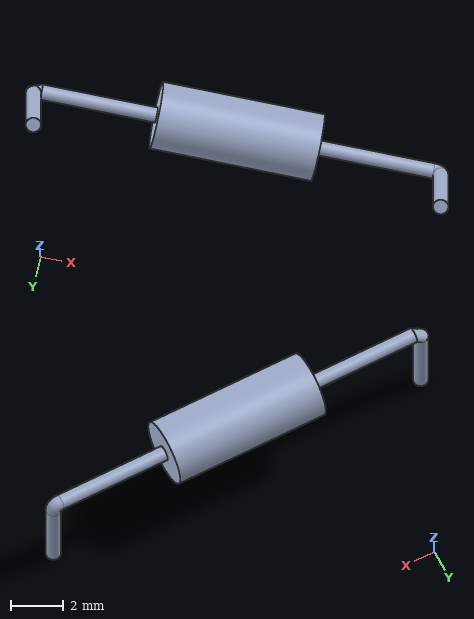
import cadquery as cq
import math

OVERALL_LENGTH = 16.5
BODY_DIAMETER = 2.6
BODY_LENGTH = 6.3
LEAD_DIAMETER = 0.6
INNER_BEND_RADIUS = 0.008
LEAD_DROP = 3.9

LEAD_RADIUS = LEAD_DIAMETER / 2
BODY_END = BODY_LENGTH / 2
BEND_RADIUS = LEAD_RADIUS + INNER_BEND_RADIUS
LEG_X = OVERALL_LENGTH / 2 - LEAD_RADIUS
PIVOT_X = LEG_X - BEND_RADIUS
PIVOT_Z = -BEND_RADIUS
LINK_STOCK_LENGTH = 4 * LEAD_DIAMETER


def make_body():
    end = cq.Workplane("YZ", origin=(-BODY_END, 0, 0))
    return end.circle(BODY_DIAMETER / 2).extrude(BODY_LENGTH)


def make_wire(side):
    """Horizontal wire from the body end to the bend, on side -1 or +1."""
    start = cq.Workplane("YZ", origin=(side * BODY_END, 0, 0))
    return start.circle(LEAD_RADIUS).extrude(side * (PIVOT_X - BODY_END))


def make_leg(side):
    """Vertical leg from the lead tip up to the bend."""
    tip = cq.Workplane("XY", origin=(side * LEG_X, 0, -LEAD_DROP))
    return tip.circle(LEAD_RADIUS).extrude(LEAD_DROP + PIVOT_Z)


def make_straight_bend(side):
    """Oblique 45 degree link whose two cut ends are the full lead circles."""
    link_center = (side * (PIVOT_X + BEND_RADIUS / 2), 0, PIVOT_Z + BEND_RADIUS / 2)
    diagonal = cq.Plane(origin=link_center, xDir=(0, 1, 0), normal=(side, 0, -1))
    link = (
        cq.Workplane(diagonal)
        .workplane(offset=-LINK_STOCK_LENGTH / 2)
        .ellipse(LEAD_RADIUS, LEAD_RADIUS / math.sqrt(2))
        .extrude(LINK_STOCK_LENGTH)
    )
    block_size = 2 * LEAD_DIAMETER
    block_center = (side * (PIVOT_X + block_size / 2), 0, PIVOT_Z + block_size / 2)
    return link.intersect(cq.Workplane(origin=block_center).box(block_size, block_size, block_size))


def make_round_bend(side):
    """Quarter turn of the lead circle about the pivot."""
    return (
        cq.Workplane("YZ", origin=(side * PIVOT_X, 0, 0))
        .circle(LEAD_RADIUS)
        .revolve(90, (0, PIVOT_Z, 0), (side, PIVOT_Z, 0))
    )


def make_lead(side, make_bend):
    return make_bend(side).union(make_wire(side)).union(make_leg(side))


body = make_body()
left_lead = make_lead(-1, make_straight_bend)
right_lead = make_lead(1, make_round_bend)

result = cq.Compound.makeCompound([body.val(), left_lead.val(), right_lead.val()])